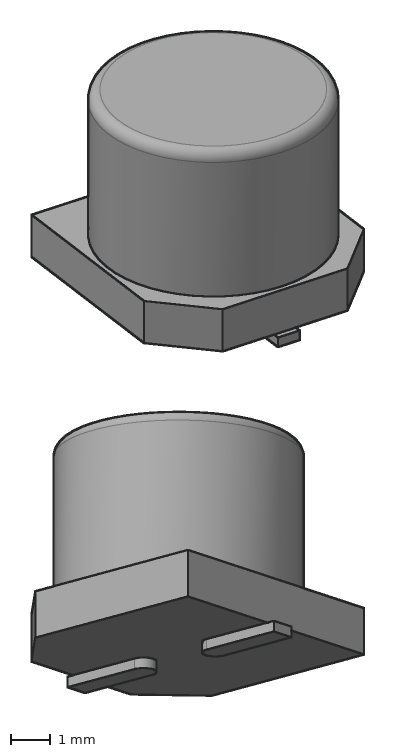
import cadquery as cq

total_height = 5.7
lead_thickness = 0.28
base_side = 6.6
base_thickness = 1.225
base_chamfer = 1.43
can_diameter = 6.3
can_edge_radius = 0.3
lead_span = 7.0
lead_width = 0.66
lead_length = 2.61
left_overhang = 0.225

base_top = lead_thickness + base_thickness
lead_left_end = -base_side / 2 - left_overhang
lead_right_end = lead_left_end + lead_span


def make_base():
    """Square base plate with both +X corners cut off."""
    plate = cq.Workplane("XY", origin=(0, 0, lead_thickness)).rect(base_side, base_side).extrude(base_thickness)
    return plate.edges("|Z and >X").chamfer(base_chamfer)


def make_can():
    """Cylindrical can with a rounded top rim."""
    can = cq.Workplane("XY", origin=(0, 0, base_top)).circle(can_diameter / 2).extrude(total_height - base_top)
    return can.faces(">Z").edges().fillet(can_edge_radius)


def make_lead(outer_end, inward):
    """Flat lead with a square outer end and a semicircular inner end; inward is +1 or -1 along X."""
    half_width = lead_width / 2
    inner_tip = outer_end + inward * lead_length
    arc_start = inner_tip - inward * half_width
    return (
        cq.Workplane("XY")
        .moveTo(outer_end, -half_width)
        .lineTo(arc_start, -half_width)
        .threePointArc((inner_tip, 0), (arc_start, half_width))
        .lineTo(outer_end, half_width)
        .close()
        .extrude(lead_thickness)
    )


result = make_base().union(make_can())
for outer_end, inward in ((lead_left_end, 1), (lead_right_end, -1)):
    result = result.union(make_lead(outer_end, inward))